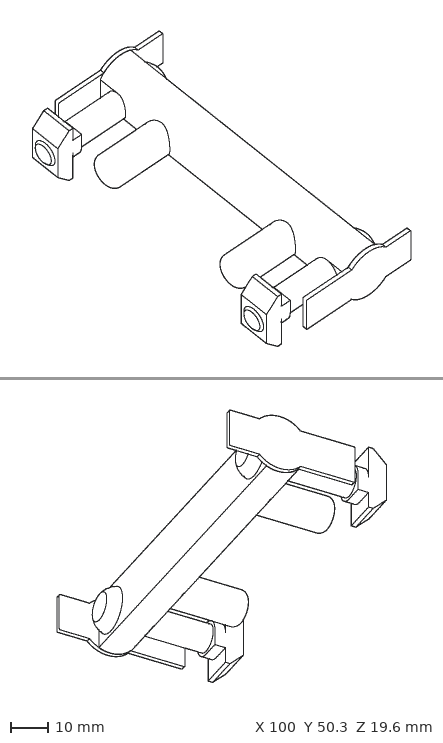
import cadquery as cq
import math


total_length = 100
bar_radius = 8.6
disc_radius = 8.5
bar_flat_y = 3.4
plate_thickness = 1.4
plate_back_y = 15.4
plate_front_y = -22.8
plate_height = 11.6
plate_corner_radius = 0.4

pin_x = 25
pin_radius = 5.2
pin_tip_y = -27.8
pin_tip_round = 2

bolt_x = 41.5
bolt_radius = 4.1
bolt_tip_y = -34.9
bolt_tip_chamfer = 0.9
head_radius = 6.7
head_top_radius = 4.2
head_height = 3.5
head_bulge = 0.3

nut_width = 10.1
nut_height = 19.6
neck_back_y = -25.5
flange_back_y = -28.7
flange_edge = 1.4
nut_front_y = -34.2
nut_chamfer = 4.1

bar_half_length = total_length / 2 - plate_thickness


def cylinder_along_y(x, radius, start_y, end_y):
    """Round rod parallel to Y, centred on z = 0."""
    return (
        cq.Workplane("XZ", origin=(x, start_y, 0))
        .circle(radius)
        .extrude(start_y - end_y)
    )


def box_between(x_range, y_range, z_range):
    """Box given by its limits along each axis."""
    limits = (x_range, y_range, z_range)
    sizes = [high - low for low, high in limits]
    corner = tuple(low for low, high in limits)
    return cq.Workplane("XY").box(*sizes, centered=False).translate(corner)


def make_bar():
    """Round bar with a flat along its back."""
    bar = cq.Workplane("YZ").circle(bar_radius).extrude(bar_half_length, both=True)
    back = box_between(
        (-bar_half_length, bar_half_length),
        (bar_flat_y, bar_radius),
        (-bar_radius, bar_radius),
    )
    return bar.cut(back)


def make_bolt_seat(side):
    """Cut for a flat as wide as the bolt, running from the bolt to the end of the bar."""
    seat_y = -math.sqrt(bar_radius**2 - bolt_radius**2)
    return box_between(
        sorted((side * bolt_x, side * bar_half_length)),
        (-bar_radius, seat_y),
        (-bolt_radius, bolt_radius),
    )


def make_end_plate(side):
    """Flat strip joined with a disc that covers the end of the bar."""
    start_x = min(side * bar_half_length, side * total_length / 2)
    strip = box_between(
        (start_x, start_x + plate_thickness),
        (plate_front_y, plate_back_y),
        (-plate_height / 2, plate_height / 2),
    ).edges("|X").fillet(plate_corner_radius)
    disc = (
        cq.Workplane("YZ", origin=(start_x, 0, 0))
        .circle(disc_radius)
        .extrude(plate_thickness)
    )
    return strip.union(disc)


def make_pin(side):
    """Locating pin with a rounded tip."""
    pin = cylinder_along_y(side * pin_x, pin_radius, 0, pin_tip_y)
    return pin.faces("<Y").edges().fillet(pin_tip_round)


def make_bolt(side):
    """Bolt with a chamfered tip and a domed head resting on the flat of the bar."""
    shank = cylinder_along_y(side * bolt_x, bolt_radius, bar_flat_y, bolt_tip_y)
    shank = shank.faces("<Y").edges().chamfer(bolt_tip_chamfer)
    mid_radius = (head_radius + head_top_radius) / 2 + head_bulge
    head = (
        cq.Workplane("XY")
        .lineTo(head_radius, 0)
        .threePointArc(
            (mid_radius, head_height / 2 + head_bulge), (head_top_radius, head_height)
        )
        .lineTo(0, head_height)
        .close()
        .revolve(360, (0, 0, 0), (0, 1, 0))
        .translate((side * bolt_x, bar_flat_y, 0))
    )
    return shank.union(head)


def make_nut(side):
    """T-nut: chamfered flange and a square neck with two opposite corners rounded."""
    half_width = nut_width / 2
    half_height = nut_height / 2
    face_half_height = half_height - nut_chamfer
    chamfer_y = flange_back_y - flange_edge
    flange = (
        cq.Workplane("YZ")
        .polyline(
            [
                (flange_back_y, -half_height),
                (flange_back_y, half_height),
                (chamfer_y, half_height),
                (nut_front_y, face_half_height),
                (nut_front_y, -face_half_height),
                (chamfer_y, -half_height),
            ]
        )
        .close()
        .extrude(half_width, both=True)
        .translate((side * bolt_x, 0, 0))
    )
    neck = cylinder_along_y(side * bolt_x, half_width, neck_back_y, flange_back_y)
    square_corner = box_between(
        (0, half_width), (flange_back_y, neck_back_y), (0, half_width)
    )
    for turn in (0, 180):
        turned_corner = square_corner.rotate((0, 0, 0), (0, 1, 0), turn)
        neck = neck.union(turned_corner.translate((side * bolt_x, 0, 0)))
    return flange.union(neck)


result = make_bar()
for end in (-1, 1):
    result = result.cut(make_bolt_seat(end))
    for make_feature in (make_end_plate, make_pin, make_bolt, make_nut):
        result = result.union(make_feature(end))